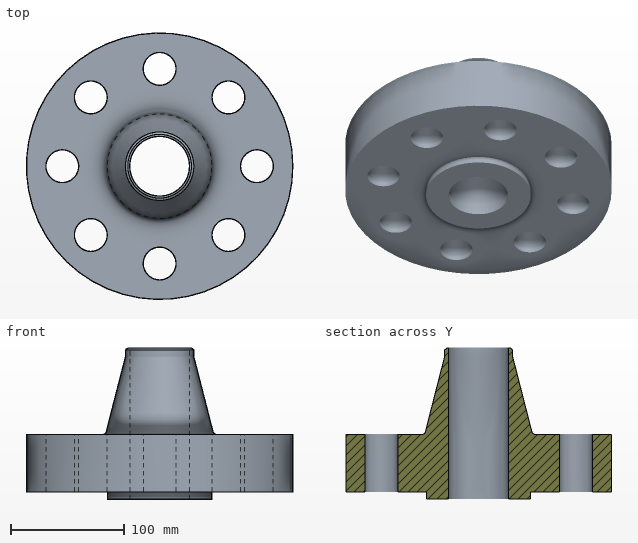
import cadquery as cq


plate_diameter = 234.9
plate_thickness = 51.0

raised_face_diameter = 92.0
raised_face_height = 6.3

overall_height = 133.5
hub_base_diameter = 95.4
hub_fillet_radius = 3.3
neck_diameter = 60.4
neck_length = 7.8

bevel_width = 2.0
bevel_height = 1.6

bore_diameter = 52.4

bolt_hole_count = 8
bolt_hole_diameter = 28.7
bolt_circle_diameter = 171.5

bottom_z = -raised_face_height
top_z = overall_height - raised_face_height
neck_base_z = top_z - neck_length
plate_radius = plate_diameter / 2
raised_face_radius = raised_face_diameter / 2
hub_base_radius = hub_base_diameter / 2
neck_radius = neck_diameter / 2
bore_radius = bore_diameter / 2


def make_body():
    """Revolve the half section of the bored flange around Z."""
    half_section = [
        (bore_radius, bottom_z),
        (raised_face_radius, bottom_z),
        (raised_face_radius, 0),
        (plate_radius, 0),
        (plate_radius, plate_thickness),
        (hub_base_radius, plate_thickness),
        (neck_radius, neck_base_z),
        (neck_radius, top_z - bevel_height),
        (neck_radius - bevel_width, top_z),
        (bore_radius, top_z),
    ]
    return cq.Workplane("XZ").polyline(half_section).close().revolve(360, (0, 0), (0, 1))


def round_hub_base(body):
    """Fillet the corner where the hub meets the top of the plate."""
    margin = 0.2
    reach = hub_base_radius + margin
    hub_base_edge = cq.selectors.BoxSelector(
        (-reach, -reach, plate_thickness - margin),
        (reach, reach, plate_thickness + margin),
        boundingbox=True,
    )
    return body.edges(hub_base_edge).edges("%CIRCLE").fillet(hub_fillet_radius)


def make_bolt_holes():
    """Cylinders through the plate, evenly spaced on the bolt circle from +X."""
    return (
        cq.Workplane("XY")
        .polarArray(bolt_circle_diameter / 2, 0, 360, bolt_hole_count)
        .circle(bolt_hole_diameter / 2)
        .extrude(plate_thickness)
    )


result = round_hub_base(make_body()).cut(make_bolt_holes())